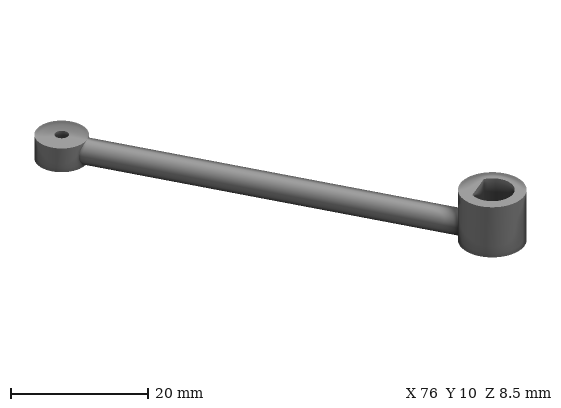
import cadquery as cq

total_length = 76.0

eye_diameter = 8.0
eye_height = 4.0
eye_hole_diameter = 2.1

hub_diameter = 10.0
hub_height = 8.5
bore_diameter = 6.5
bore_flat_offset = 2.2

rod_diameter = eye_height

center_distance = total_length - (eye_diameter + hub_diameter) / 2


def cylinder(x, diameter, height):
    """Upright cylinder standing on the base plane, with its axis at (x, 0)."""
    return cq.Workplane("XY").center(x, 0).circle(diameter / 2).extrude(height)


def d_bore():
    """Round bore of the hub, cut off by a flat across its -X side."""
    keep_length = bore_flat_offset + bore_diameter / 2
    keep = (
        cq.Workplane("XY")
        .box(keep_length, bore_diameter, hub_height, centered=(False, True, False))
        .translate((center_distance - bore_flat_offset, 0, 0))
    )
    return cylinder(center_distance, bore_diameter, hub_height).intersect(keep)


eye = cylinder(0, eye_diameter, eye_height)
hub = cylinder(center_distance, hub_diameter, hub_height)

rod_start = (eye_hole_diameter + eye_diameter) / 4
rod_end = center_distance - bore_diameter / 2
rod = (
    cq.Workplane("YZ", origin=(rod_start, 0, rod_diameter / 2))
    .circle(rod_diameter / 2)
    .extrude(rod_end - rod_start)
)

eye_hole = cylinder(0, eye_hole_diameter, eye_height)

result = eye.union(rod).union(hub).cut(eye_hole).cut(d_bore())